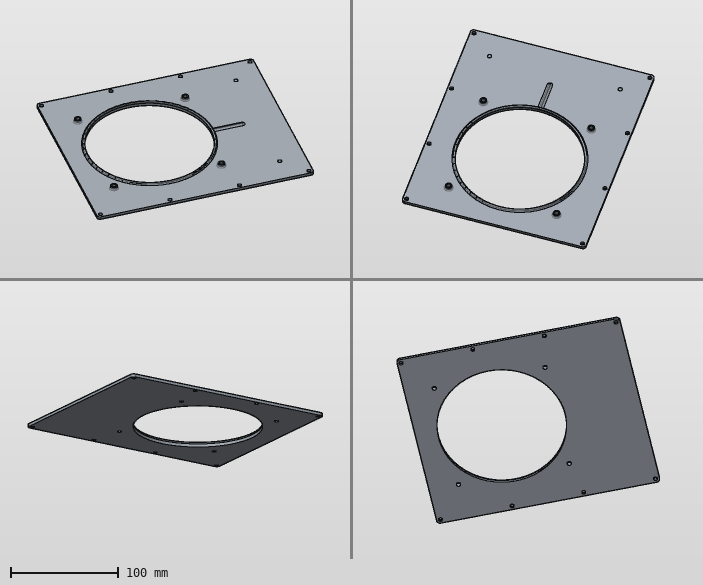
import cadquery as cq
import math

plate_width = 178.6
plate_length = 211.39
plate_thickness = 3.0
plate_corner_radius = 3.2

edge_hole_diameter = 3.6
edge_hole_inset = 3.8
edge_holes_per_side = 4

recess_diameter = 3.8
recess_depth = 0.2
recess_spacing = 127.0
recess_y = 80.7

opening_diameter = 120.0
opening_y = -25.1

boss_spacing = 105.0
boss_diameter = 6.2
boss_height = 3.0
boss_hole_diameter = 3.8
boss_fillet = 1.0

bead_height = 2.0
rim_width = 2.0
rim_fillet = 1.0

rib_width = 1.5
rib_length = 30.5
rib_fillet = 2.0

opening_radius = opening_diameter / 2
rim_crest_radius = opening_radius + rim_width / 2
rib_end_y = opening_y + opening_radius + rib_length


def on_circle(center, radius, angle):
    return (center[0] + radius * math.cos(angle), center[1] + radius * math.sin(angle))


def flared_side(section, crest_x, crest_width, fillet):
    """Continue a section from its crest: down the round top and out along the fillet to the plate."""
    top_radius = crest_width / 2
    top_center = (crest_x, bead_height - top_radius)
    rise = fillet - top_center[1]
    run = math.sqrt((top_radius + fillet) ** 2 - rise**2)
    fillet_center = (crest_x + run, fillet)
    tangent_angle = math.atan2(rise, run)
    back_angle = tangent_angle + math.pi
    foot_angle = 1.5 * math.pi
    return section.threePointArc(
        on_circle(top_center, top_radius, (math.pi / 2 + tangent_angle) / 2),
        on_circle(top_center, top_radius, tangent_angle),
    ).threePointArc(
        on_circle(fillet_center, fillet, (back_angle + foot_angle) / 2),
        (fillet_center[0], 0),
    )


def make_boss():
    boss_radius = boss_diameter / 2
    fillet_center = (boss_radius + boss_fillet, boss_fillet)
    return (
        cq.Workplane("XZ")
        .lineTo(boss_radius + boss_fillet, 0)
        .threePointArc(on_circle(fillet_center, boss_fillet, 1.25 * math.pi), (boss_radius, boss_fillet))
        .lineTo(boss_radius, boss_height)
        .lineTo(0, boss_height)
        .close()
        .revolve(360, (0, 0, 0), (0, 1, 0))
    )


def make_plate():
    plate = (
        cq.Workplane("XY")
        .box(plate_width, plate_length, plate_thickness, centered=(True, True, False))
        .edges("|Z")
        .fillet(plate_corner_radius)
    )

    boss_offset = boss_spacing / 2
    boss_places = [
        (x, opening_y + y) for x in (-boss_offset, boss_offset) for y in (-boss_offset, boss_offset)
    ]
    boss = make_boss()
    for x, y in boss_places:
        plate = plate.union(boss.translate((x, y, plate_thickness)))

    bottom = cq.Workplane("XY")
    hole_depth = plate_thickness + boss_height
    opening = bottom.center(0, opening_y).circle(opening_radius).extrude(hole_depth)
    boss_holes = bottom.pushPoints(boss_places).circle(boss_hole_diameter / 2).extrude(hole_depth)

    edge_x = plate_width / 2 - edge_hole_inset
    edge_y = plate_length / 2 - edge_hole_inset
    edge_pitch = 2 * edge_y / (edge_holes_per_side - 1)
    edge_places = [
        (x, -edge_y + i * edge_pitch) for x in (-edge_x, edge_x) for i in range(edge_holes_per_side)
    ]
    edge_holes = bottom.pushPoints(edge_places).circle(edge_hole_diameter / 2).extrude(hole_depth)

    recesses = (
        cq.Workplane("XY", origin=(0, recess_y, plate_thickness))
        .pushPoints([(-recess_spacing / 2, 0), (recess_spacing / 2, 0)])
        .circle(recess_diameter / 2)
        .extrude(-recess_depth)
    )
    return plate.cut(opening).cut(boss_holes).cut(edge_holes).cut(recesses)


def make_rim():
    top_radius = rim_width / 2
    top_center = (rim_crest_radius, bead_height - top_radius)
    section = (
        cq.Workplane("XZ")
        .moveTo(opening_radius, 0)
        .lineTo(opening_radius, top_center[1])
        .threePointArc(on_circle(top_center, top_radius, 0.75 * math.pi), (rim_crest_radius, bead_height))
    )
    section = flared_side(section, rim_crest_radius, rim_width, rim_fillet).close()
    return section.revolve(360, (0, 0, 0), (0, 1, 0)).translate((0, opening_y, plate_thickness))


def rib_half_section():
    section = cq.Workplane("XZ").lineTo(0, bead_height)
    return flared_side(section, 0, rib_width, rib_fillet).close()


def make_rib():
    half = rib_half_section().extrude(opening_y - rib_end_y).translate((0, opening_y, plate_thickness))
    end = rib_half_section().revolve(360, (0, 0, 0), (0, 1, 0)).translate((0, rib_end_y, plate_thickness))
    inside_rim = (
        cq.Workplane("XY", origin=(0, opening_y, plate_thickness))
        .circle(rim_crest_radius)
        .extrude(bead_height)
    )
    return half.union(half.mirror("YZ")).union(end).cut(inside_rim)


plate = make_plate()
bead = make_rim().union(make_rib())

result = cq.Compound.makeCompound([plate.val(), bead.val()])